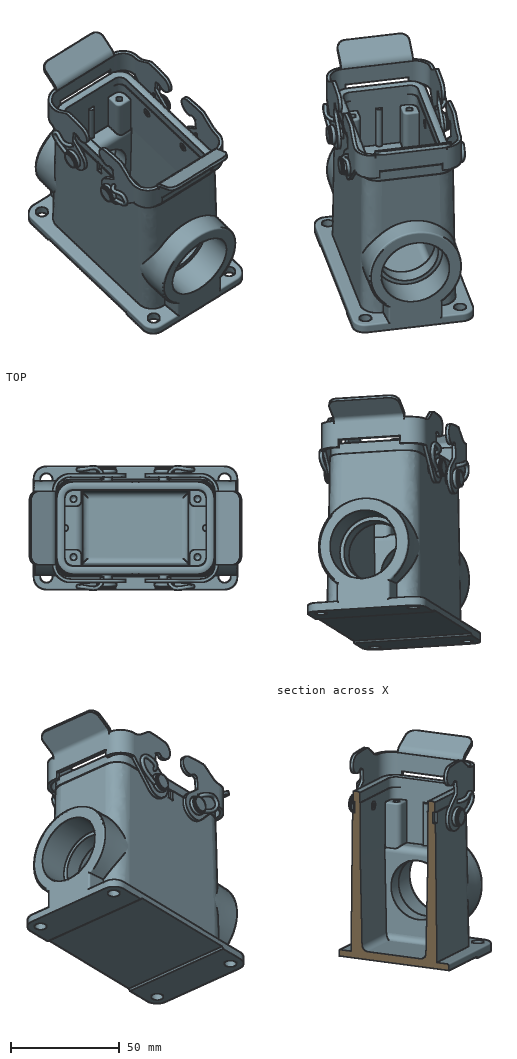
import cadquery as cq
import math

FLANGE_X, FLANGE_Y, FLANGE_H = 93.9, 56.9, 4.2
FLANGE_CORNER_R = 5.9
FLANGE_EDGE_R = 0.8
MOUNT_HOLE_D = 5.6
MOUNT_X, MOUNT_Y = 41.0, 22.3
RECESS_HALF_X, RECESS_H = 28.9, 0.9

BODY_H = 75.4
BODY_BASE_X, BODY_BASE_Y = 76.3, 44.8
BODY_TOP_X, BODY_TOP_Y = 73.1, 43.0
BODY_R = 7.9
RIM_X, RIM_Y = 72.3, 42.4
RIM_EDGE_TOP, RIM_CROWN_TOP = 80.2, 80.7
RIM_R = 7.4
RIM_WALL = 3.7
MARK_SLOT_W, MARK_SLOT_H, MARK_SLOT_DEPTH = 3.0, 5.2, 1.2

BORE_Z = 30.0
HUB_FACE_R, HUB_ROOT_R, HUB_ROOT_X = 21.7, 22.0, -29.7
HUB_EDGE_R = 0.8
BORE_D, BORE_STEP_D, BORE_DEPTH = 32.0, 28.0, 15.1
PEDESTAL_FACE_Y, PEDESTAL_ROOT_Y = 12.6, 13.9

MOUTH_STEP = 0.2
FLOOR_Z, FLOOR_R = 5.0, 2.9
WELL_X = 48.7
WELL_FLOOR_Y = 32.7
LEDGE_Z, LEDGE_R = 49.5, 3.3
POST_X, POST_Y, POST_TOP = 25.0, 10.0, 69.7
POST_CORNER_R, POST_EDGE_R = 2.4, 0.8
SCREW_X, SCREW_Y, SCREW_D, SCREW_DEPTH = 28.5, 13.4, 3.0, 9.9
DRILL_POINT = 118.0
KEY_RIB_D = 3.0

PIN_X, PIN_Z = 13.2, 70.9
PIN_SHANK_D, PIN_END_D, PIN_DIMPLE_D, PIN_DIMPLE_DEPTH = 4.8, 4.0, 1.6, 0.5
PIN_SHOULDER_Y = 21.2
PIN_NECK_D, PIN_HEAD_D = 5.6, 8.0
PIN_HEAD_IN_Y, PIN_HEAD_OUT_Y, PIN_HEAD_CHAMFER = 27.0, 28.3, 0.5

STRAP_T = 1.6
STRAP_X, STRAP_Y, STRAP_R = 38.1, 25.1, 8.3
BAND_TOP, BAND_BOTTOM = 90.6, 78.3
EYE_R = 6.8
EYE_EDGE_ANGLE = 52.0
HOOK_X, HOOK_Z, HOOK_R = -9.2, 91.1, 4.7
NOTCH_TOP, NOTCH_HALF_Y = 81.9, 14.9
FLAP_TIP_X, FLAP_TOP, FLAP_ANGLE = 48.8, 99.05, 30.0
FLAP_HALF_Y, FLAP_CORNER_R, FLAP_BEND_R = 16.9, 4.2, 2.6

WIRE_D, WIRE_RING_R, WIRE_Y = 1.8, 3.7, 26.05
WIRE_TAIL = [
    (-15.1, -WIRE_Y, 67.8),
    (-20.3, -26.1, 71.1),
    (-25.0, -26.5, 74.1),
    (-26.2, -26.9, 77.5),
    (-23.8, -27.1, 80.0),
    (-20.4, -27.7, 79.3),
    (-18.1, -27.6, 78.5),
    (-16.0, -26.1, 77.8),
    (-15.5, -24.4, 77.5),
    (-15.5, -22.6, 77.5),
]

LAP = 1.0

OPENING_X = RIM_X - 2 * RIM_WALL
OPENING_Y = RIM_Y - 2 * RIM_WALL
OPENING_R = RIM_R - RIM_WALL
CHAMBER_Y = OPENING_Y - 2 * MOUTH_STEP


def rounded_prism(x, y, r, z0, z1):
    return cq.Workplane("XY").workplane(offset=z0).rect(x, y).extrude(z1 - z0).edges("|Z").fillet(r)


def box(x0, x1, y0, y1, z0, z1):
    return cq.Workplane("XY").box(x1 - x0, y1 - y0, z1 - z0, centered=False).translate((x0, y0, z0))


def disc_y(x, z, d, y0, y1):
    """Cylinder along Y from y0 to y1."""
    return cq.Workplane("XZ", origin=(x, y0, z)).circle(d / 2).extrude(y0 - y1)


def disc_x(d, x0, x1):
    """Cylinder along X on the cable entry axis."""
    return cq.Workplane("YZ", origin=(x0, 0, BORE_Z)).circle(d / 2).extrude(x1 - x0)


def nearest(x, y, z):
    return cq.selectors.NearestToPointSelector((x, y, z))


def flange():
    plate = rounded_prism(FLANGE_X, FLANGE_Y, FLANGE_CORNER_R, 0, FLANGE_H)
    plate = plate.faces(">Z").edges().fillet(FLANGE_EDGE_R)
    corners = [(sx * MOUNT_X, sy * MOUNT_Y) for sx in (-1, 1) for sy in (-1, 1)]
    holes = cq.Workplane("XY").pushPoints(corners).circle(MOUNT_HOLE_D / 2).extrude(FLANGE_H)
    return plate.cut(holes)


def shell_body():
    body = (
        cq.Workplane("XY").rect(BODY_BASE_X, BODY_BASE_Y)
        .workplane(offset=BODY_H).rect(BODY_TOP_X, BODY_TOP_Y).loft(ruled=True)
    )
    return body.edges("not #Z").fillet(BODY_R)


def crowned_rim():
    """Collar around the opening, with a gently crowned top."""
    half = RIM_WALL / 2
    straight_x = RIM_X / 2 - RIM_R
    straight_y = RIM_Y / 2 - RIM_R
    mid_r = RIM_R - half
    mid_y = RIM_Y / 2 - half

    def section(plane):
        return (
            plane.moveTo(-half, BODY_H - LAP)
            .lineTo(half, BODY_H - LAP)
            .lineTo(half, RIM_EDGE_TOP)
            .threePointArc((0, RIM_CROWN_TOP), (-half, RIM_EDGE_TOP))
            .close()
        )

    long_side = section(cq.Workplane("YZ", origin=(-straight_x, mid_y, 0))).extrude(2 * straight_x)
    short_side = section(cq.Workplane("XZ", origin=(RIM_X / 2 - half, straight_y, 0))).extrude(2 * straight_y)
    corner = section(cq.Workplane("XZ", origin=(mid_r, 0, 0))).revolve(90, (-mid_r, 0, 0), (-mid_r, 1, 0))
    corner = corner.translate((straight_x, straight_y, 0))
    ring = long_side.union(long_side.mirror("XZ")).union(short_side).union(short_side.mirror("YZ"))
    for piece in (corner, corner.mirror("XZ")):
        ring = ring.union(piece).union(piece.mirror("YZ"))
    return ring


def cable_entry():
    """Slightly conical hub on a tapered pedestal at the -X end, with a rounded outer edge."""
    face_x = -FLANGE_X / 2
    length = HUB_ROOT_X - face_x
    hub = (
        cq.Workplane("YZ", origin=(face_x, 0, BORE_Z)).circle(HUB_FACE_R)
        .workplane(offset=length).circle(HUB_ROOT_R).loft()
    )
    pedestal = (
        cq.Workplane("XY")
        .polyline([(face_x, -PEDESTAL_FACE_Y), (HUB_ROOT_X, -PEDESTAL_ROOT_Y),
                   (HUB_ROOT_X, PEDESTAL_ROOT_Y), (face_x, PEDESTAL_FACE_Y)])
        .close().extrude(BORE_Z)
    )
    entry = hub.union(pedestal)
    return entry.faces("<X").edges("not <Z").fillet(HUB_EDGE_R)


def entry_bore():
    """Stepped bore from the -X end into the interior."""
    face_x = -FLANGE_X / 2
    return disc_x(BORE_D, face_x, face_x + BORE_DEPTH).union(disc_x(BORE_STEP_D, face_x, 0))


def cavity():
    """Wide chamber above a narrower well, with rounded lips between them."""
    mouth = rounded_prism(OPENING_X, OPENING_Y, OPENING_R, BODY_H, RIM_CROWN_TOP)
    chamber = rounded_prism(OPENING_X, CHAMBER_Y, OPENING_R, LEDGE_Z, BODY_H)
    well = (
        cq.Workplane("XY", origin=(0, 0, FLOOR_Z)).rect(WELL_X, WELL_FLOOR_Y)
        .workplane(offset=LEDGE_Z - FLOOR_Z).rect(WELL_X, CHAMBER_Y).loft(ruled=True)
    )
    well = well.faces("<Z").edges().fillet(FLOOR_R)
    hollow = mouth.union(chamber).union(well)
    for side in (-1, 1):
        edge_x = side * WELL_X / 2
        lip = (
            cq.Workplane("XZ", origin=(0, CHAMBER_Y / 2, 0))
            .moveTo(edge_x, LEDGE_Z - LEDGE_R)
            .radiusArc((edge_x + side * LEDGE_R, LEDGE_Z), side * LEDGE_R)
            .lineTo(edge_x, LEDGE_Z)
            .close()
            .extrude(CHAMBER_Y)
        )
        hollow = hollow.union(lip)
    return hollow


def screw_post():
    """Corner post with a blind screw hole, at +X +Y."""
    post = box(POST_X, OPENING_X / 2 + LAP, POST_Y, OPENING_Y / 2 + LAP, LEDGE_Z - LEDGE_R, POST_TOP)
    post = post.edges("|Z and <X and <Y").fillet(POST_CORNER_R)
    post = post.faces(">Z").edges("not (>X or >Y)").fillet(POST_EDGE_R)
    hole_r = SCREW_D / 2
    hole_bottom = POST_TOP - SCREW_DEPTH
    cone_h = hole_r / math.tan(math.radians(DRILL_POINT / 2))
    drill = (
        cq.Workplane("XZ")
        .polyline([(0, POST_TOP), (hole_r, POST_TOP), (hole_r, hole_bottom), (0, hole_bottom - cone_h)])
        .close().revolve(360, (0, 0, 0), (0, 1, 0)).translate((SCREW_X, SCREW_Y, 0))
    )
    return post.cut(drill)


def key_ribs():
    """Half-round rib on each end wall of the chamber."""
    walls = [(-OPENING_X / 2, 0), (OPENING_X / 2, 0)]
    ribs = cq.Workplane("XY", origin=(0, 0, LEDGE_Z - LAP)).pushPoints(walls)
    return ribs.circle(KEY_RIB_D / 2).extrude(POST_TOP - LEDGE_Z + LAP)


def bottom_recess():
    """Shallow channel with sloped ends across the underside."""
    top_half_x = RECESS_HALF_X - RECESS_H
    return (
        cq.Workplane("XZ", origin=(0, FLANGE_Y / 2, 0))
        .polyline([(-RECESS_HALF_X, 0), (RECESS_HALF_X, 0), (top_half_x, RECESS_H), (-top_half_x, RECESS_H)])
        .close().extrude(FLANGE_Y)
    )


def make_housing():
    entry = cable_entry()
    bore = entry_bore()
    body = shell_body().union(entry).union(entry.mirror("YZ")).union(flange()).union(crowned_rim())
    body = body.cut(cavity()).cut(bore).cut(bore.mirror("YZ"))

    post = screw_post()
    for pair in (post, post.mirror("XZ")):
        body = body.union(pair).union(pair.mirror("YZ"))
    body = body.union(key_ribs())

    slot = box(-MARK_SLOT_W / 2, MARK_SLOT_W / 2, BODY_TOP_Y / 2 - MARK_SLOT_DEPTH, BODY_BASE_Y / 2,
               BODY_H - MARK_SLOT_H, BODY_H)
    body = body.cut(slot).cut(slot.mirror("XZ"))

    for side in (-1, 1):
        outside_y = side * BODY_BASE_Y / 2
        for x in (-PIN_X, PIN_X):
            body = body.cut(disc_y(x, PIN_Z, PIN_END_D, 0, outside_y))
            body = body.cut(disc_y(x, PIN_Z, PIN_SHANK_D, side * PIN_SHOULDER_Y, outside_y))
    return body.cut(bottom_recess())


def arm_profile():
    """Side outline of the lever: band, hook and pivot eye."""
    eye_x = -PIN_X
    diag = math.sqrt(0.5)
    edge_angle = math.radians(EYE_EDGE_ANGLE)
    low_tangent = (eye_x - EYE_R * diag, PIN_Z - EYE_R * diag)
    high_tangent = (eye_x + EYE_R * math.cos(edge_angle), PIN_Z + EYE_R * math.sin(edge_angle))
    eye_side = (eye_x + EYE_R * diag, PIN_Z - EYE_R * diag)
    bend_x = STRAP_R - STRAP_X
    return (
        cq.Workplane("XZ", origin=(0, STRAP_Y, 0))
        .moveTo(-STRAP_X, BAND_BOTTOM)
        .lineTo(-STRAP_X, BAND_TOP)
        .lineTo(bend_x, BAND_TOP)
        .threePointArc((-27.3, 91.0), (-25.3, 92.1))
        .lineTo(-20.2, 95.7)
        .threePointArc((-19.4, 96.1), (-18.5, 96.3))
        .lineTo(-13.5, 96.2)
        .lineTo(HOOK_X, HOOK_Z + HOOK_R)
        .threePointArc((HOOK_X + HOOK_R, HOOK_Z), (HOOK_X, HOOK_Z - HOOK_R))
        .lineTo(-10.7, 86.6)
        .threePointArc((-13.2, 87.8), (-14.5, 86.9))
        .lineTo(-15.0, 81.8)
        .threePointArc((-15.0, 81.3), (-14.6, 80.8))
        .lineTo(*high_tangent)
        .threePointArc(eye_side, low_tangent)
        .lineTo(bend_x, BAND_BOTTOM)
        .close()
        .extrude(2 * STRAP_Y)
    )


def strap():
    """Bent sheet-metal U with a hooked arm on each side."""
    inner_x, inner_y, inner_r = STRAP_X - STRAP_T, STRAP_Y - STRAP_T, STRAP_R - STRAP_T
    outer = rounded_prism(2 * STRAP_X, 2 * STRAP_Y, STRAP_R, 0, FLAP_TOP)
    inner = rounded_prism(2 * inner_x, 2 * inner_y, inner_r, 0, FLAP_TOP)
    bent = outer.cut(inner).intersect(arm_profile())
    notch = box(-STRAP_X - LAP, STRAP_R - STRAP_X, -NOTCH_HALF_Y, NOTCH_HALF_Y, BAND_BOTTOM - LAP, NOTCH_TOP)
    return bent.cut(notch)


def flap():
    """Finger tab bent outward from the top of the band."""
    angle = math.radians(FLAP_ANGLE)
    slope = math.tan(angle)
    inner_x = STRAP_T - STRAP_X
    root_z = BAND_TOP - LAP
    tip_low = (-FLAP_TIP_X, FLAP_TOP - STRAP_T * math.cos(angle))
    tip_high = (-FLAP_TIP_X + STRAP_T * math.sin(angle), FLAP_TOP)
    bend_high = (inner_x, FLAP_TOP - (inner_x - tip_high[0]) * slope)
    bend_low = (-STRAP_X, tip_low[1] - (FLAP_TIP_X - STRAP_X) * slope)
    tab = (
        cq.Workplane("XZ", origin=(0, FLAP_HALF_Y, 0))
        .polyline([(-STRAP_X, root_z), bend_low, tip_low, tip_high, bend_high, (inner_x, root_z)])
        .close().extrude(2 * FLAP_HALF_Y)
    )
    tab = tab.edges(nearest(bend_high[0], 0, bend_high[1])).fillet(FLAP_BEND_R + STRAP_T)
    tab = tab.edges(nearest(bend_low[0], 0, bend_low[1])).fillet(FLAP_BEND_R)
    tip_x, tip_z = (tip_low[0] + tip_high[0]) / 2, (tip_low[1] + tip_high[1]) / 2
    for y in (-FLAP_HALF_Y, FLAP_HALF_Y):
        tab = tab.edges(nearest(tip_x, y, tip_z)).fillet(FLAP_CORNER_R)
    return tab


def pin():
    """Stepped pivot pin on the -Y side."""
    eye = (-PIN_X, PIN_Z)
    end_y = -CHAMBER_Y / 2
    head = disc_y(*eye, PIN_HEAD_D, -PIN_HEAD_IN_Y, -PIN_HEAD_OUT_Y).faces("<Y").chamfer(PIN_HEAD_CHAMFER)
    neck = disc_y(*eye, PIN_NECK_D, -STRAP_Y + STRAP_T / 2, -PIN_HEAD_IN_Y)
    shank = disc_y(*eye, PIN_SHANK_D, -PIN_SHOULDER_Y, -STRAP_Y)
    end = disc_y(*eye, PIN_END_D, end_y, -PIN_SHOULDER_Y)
    dimple = disc_y(*eye, PIN_DIMPLE_D, end_y, end_y - PIN_DIMPLE_DEPTH)
    return head.union(neck).union(shank).union(end).cut(dimple)


def spring_wire():
    """Wire ring around the pin neck, with a looped tail that ends through the arm."""
    ring_center = cq.Vector(-PIN_X, -WIRE_Y, PIN_Z)
    ring = cq.Workplane("XY").add(
        cq.Solid.makeTorus(WIRE_RING_R, WIRE_D / 2, ring_center, cq.Vector(0, 1, 0)))
    points = [cq.Vector(*point) for point in WIRE_TAIL]
    spline = cq.Edge.makeSpline(points)
    path = cq.Workplane("XY").newObject([cq.Wire.assembleEdges([spline])])
    start_plane = cq.Plane(points[0], normal=spline.tangentAt(0))
    tail = cq.Workplane(start_plane).circle(WIRE_D / 2).sweep(path)
    return ring.union(tail)


def make_lever():
    fitting = pin().union(spring_wire())
    return strap().union(flap()).union(fitting).union(fitting.mirror("XZ"))


housing = make_housing()
left_lever = make_lever()
levers = [left_lever, left_lever.mirror("YZ")]
result = cq.Compound.makeCompound([housing.val()] + [lever.val() for lever in levers])